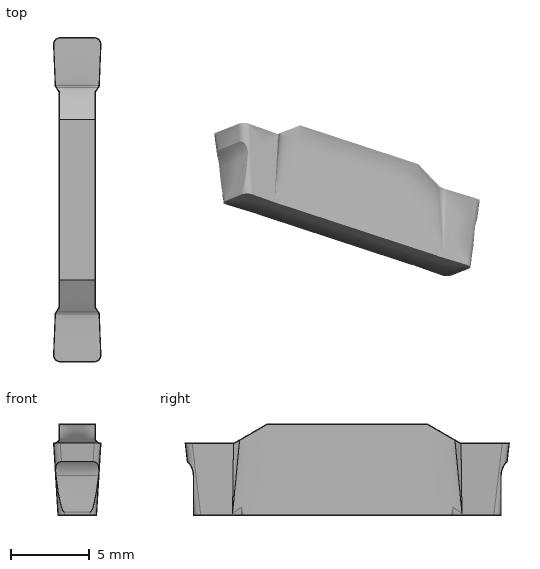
import cadquery as cq
import math


length = 20.53
height = 5.79
body_width = 2.3
half_length = length / 2

edge_height = 4.58
edge_half_width = 1.52
corner_radius = 0.43
head_depth = 3.05
head_back_lean = 0.06
side_taper = math.tan(math.radians(2.3))
side_draft = math.tan(math.radians(3.2))
front_draft = math.tan(math.radians(6.7))
shoulder_slope = 1.2 / 1.8
root_half_width = 1.03
head_blank_height = 5.13

ramp_angle = math.radians(30)
ramp_slope = math.tan(ramp_angle)
ramp_inset = 3.1
ramp_fillet = 0.23

relief_inset = 0.51
relief_top = 3.4
relief_bottom = 2.55

notch_inset = 3.55
notch_end_inset = 3.67

clearance = 0.2
tolerance = 2.05e-07
body_start_inset = 2.05


def side_half_width(inset, z):
    """Half width of the tapered and drafted head side, extended to any inset."""
    return edge_half_width - side_taper * inset - side_draft * (edge_height - z)


def front_inset(z):
    """Inset of the drafted front flank at height z."""
    return front_draft * (edge_height - z)


def end_y(inset):
    return inset - half_length


def head_plan(z):
    """Closed head outline at height z, with rounded front corners."""
    front = front_inset(z)
    back = head_depth - head_back_lean * (edge_height - z) / edge_height
    back_half_width = side_half_width(back, z)
    root = back + (back_half_width - root_half_width) / shoulder_slope
    right_side = [
        (side_half_width(front, z), end_y(front)),
        (back_half_width, end_y(back)),
        (root_half_width, end_y(root)),
    ]
    left_side = [(-x, y) for x, y in reversed(right_side)]
    points = [cq.Vector(x, y, z) for x, y in right_side + left_side]
    outline = cq.Wire.makePolygon(points, close=True)
    front_corners = [v for v in outline.Vertices() if abs(v.Y - end_y(front)) < tolerance]
    return outline.fillet2D(corner_radius, front_corners)


def make_head():
    plans = [head_plan(0), head_plan(head_blank_height)]
    return cq.Workplane(obj=cq.Solid.makeLoft(plans, True))


def notch_plan(z):
    """Outline outside the extended head side, closing again behind the notch."""
    outside = edge_half_width + clearance
    valley = side_half_width(notch_inset, z)
    valley_depth = body_width / 2 - side_half_width(notch_inset, 0)
    exit_slope = (notch_end_inset - notch_inset) / valley_depth
    points = [
        (outside, 0),
        (side_half_width(0, z), 0),
        (valley, notch_inset),
        (outside, notch_inset + (outside - valley) * exit_slope),
    ]
    return cq.Wire.makePolygon([cq.Vector(x, end_y(y), z) for x, y in points], close=True)


def make_notch():
    valley_z = (body_width / 2 - side_half_width(notch_inset, 0)) / side_draft
    top = valley_z + clearance
    return cq.Workplane(obj=cq.Solid.makeLoft([notch_plan(0), notch_plan(top)], True))


def make_body():
    body = cq.Workplane().box(
        body_width, length - 2 * body_start_inset, height, centered=(True, True, False)
    )
    notch = make_notch()
    for cutter in (notch, notch.mirror("YZ")):
        body = body.cut(cutter).cut(cutter.mirror("XZ"))
    return body


def make_side_profile():
    """Half of the side outline, from one tip to the middle, extruded across the width."""
    relief_start = front_inset(relief_top)
    run = relief_inset - relief_start
    rise = relief_top - relief_bottom
    radius = (run**2 + rise**2) / (2 * run)
    half_angle = math.asin(rise / radius) / 2
    arc_mid = (
        end_y(relief_inset - radius * (1 - math.cos(half_angle))),
        relief_bottom + radius * math.sin(half_angle),
    )
    ridge_inset = ramp_inset + (height - edge_height) / ramp_slope
    fillet_run = ramp_fillet * math.tan(ramp_angle / 2)
    fillet_end = fillet_run * math.cos(ramp_angle)
    fillet_start_y = end_y(ramp_inset - fillet_run)
    return (
        cq.Workplane("YZ")
        .moveTo(0, 0)
        .lineTo(end_y(relief_inset), 0)
        .lineTo(end_y(relief_inset), relief_bottom)
        .threePointArc(arc_mid, (end_y(relief_start), relief_top))
        .lineTo(end_y(0), edge_height)
        .lineTo(fillet_start_y, edge_height)
        .tangentArcPoint(
            (end_y(ramp_inset + fillet_end), edge_height + fillet_end * ramp_slope),
            relative=False,
        )
        .lineTo(end_y(ridge_inset), height)
        .lineTo(0, height)
        .close()
        .extrude(edge_half_width + clearance, both=True)
    )


head = make_head()
side_profile = make_side_profile()
blank = make_body().union(head).union(head.mirror("XZ"))
result = blank.intersect(side_profile.union(side_profile.mirror("XZ")))